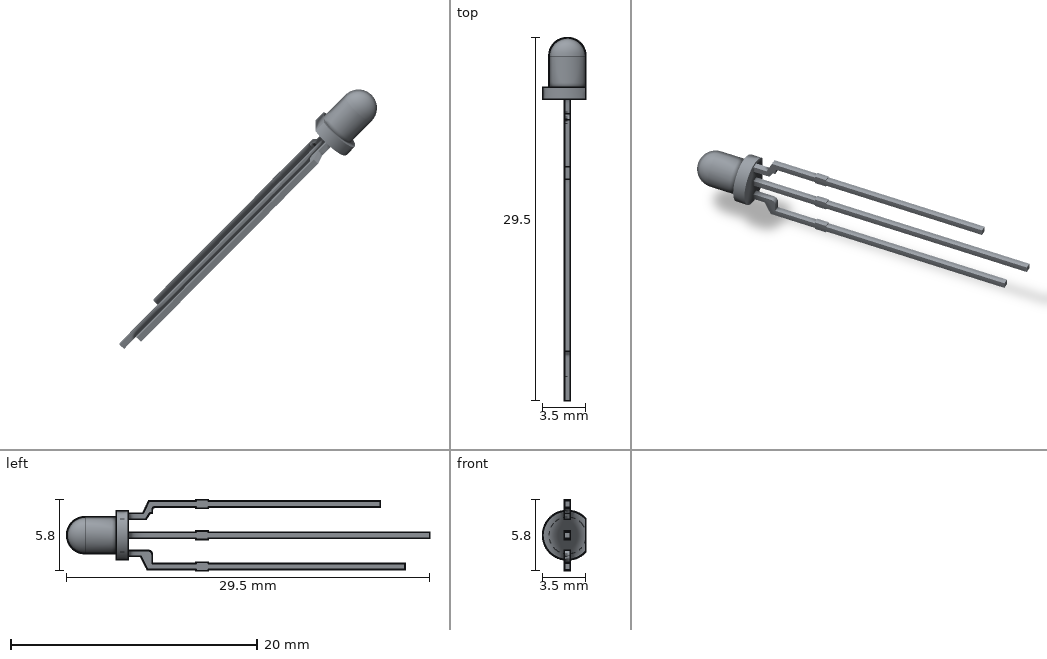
import cadquery as cq

total_length = 29.5
body_length = 5.02
lens_radius = 1.5
flange_radius = 2.0
flange_thickness = 1.0
flat_offset = lens_radius

lead_width = 0.5
lead_pitch = 2.55
lower_root_pitch = 1.48
upper_root_pitch = 1.53
middle_lead_length = total_length - body_length
length_step = 2.0
lower_lead_length = middle_lead_length - length_step
upper_lead_length = lower_lead_length - length_step

stop_width = 0.7
stop_length = 1.0
stop_distance = 5.5

bend_end = 1.95
lower_slope_start = 1.0
lower_slope_end = 1.53
lower_corner_radius = 0.38
upper_slope_start = 1.18
upper_slope_end = 1.65
upper_inner_slope_start = 1.42
upper_inner_slope_end = 1.75
upper_corner_radius = 0.2

half_width = lead_width / 2
lower_root_inner = lower_root_pitch - half_width
lower_root_outer = lower_root_pitch + half_width
upper_root_inner = upper_root_pitch - half_width
upper_root_outer = upper_root_pitch + half_width
lead_inner = lead_pitch - half_width
lead_outer = lead_pitch + half_width


def make_body():
    """Domed lens with a flange that has one flat side."""
    dome_start = body_length - lens_radius
    lens = (
        cq.Workplane("XY")
        .lineTo(lens_radius, 0)
        .lineTo(lens_radius, dome_start)
        .radiusArc((0, body_length), -lens_radius)
        .close()
        .revolve(360, (0, 0), (0, 1))
    )
    flange = cq.Workplane("XZ").circle(flange_radius).extrude(-flange_thickness)
    kept_width = flange_radius + flat_offset
    kept_side = cq.Workplane("XY").box(
        kept_width, flange_thickness, 2 * flange_radius, centered=(False, False, True)
    ).translate((-flange_radius, 0, 0))
    return flange.intersect(kept_side).union(lens)


def make_lead(outline):
    """Extrude a lead outline, given as (distance from flange, height) points."""
    points = [(-distance, height) for distance, height in outline]
    return cq.Workplane("YZ").polyline(points).close().extrude(half_width, both=True)


def round_bend(lead, height, radius):
    """Round the lead corner found at the end of the bend and the given height."""
    corner = cq.selectors.NearestToPointSelector((0, -bend_end, height))
    return lead.edges("|X").edges(corner).fillet(radius)


def make_stop(height):
    """Widened section of the lead at the given height."""
    stop_center = -(stop_distance + stop_length / 2)
    stop = cq.Workplane("XY").box(lead_width, stop_length, stop_width)
    return stop.translate((0, stop_center, height))


middle_outline = [
    (0, -half_width),
    (middle_lead_length, -half_width),
    (middle_lead_length, half_width),
    (0, half_width),
]

lower_outline = [
    (0, -lower_root_inner),
    (bend_end, -lower_root_inner),
    (bend_end, -lead_inner),
    (lower_lead_length, -lead_inner),
    (lower_lead_length, -lead_outer),
    (lower_slope_end, -lead_outer),
    (lower_slope_start, -lower_root_outer),
    (0, -lower_root_outer),
]

upper_outline = [
    (0, upper_root_inner),
    (upper_inner_slope_start, upper_root_inner),
    (upper_inner_slope_end, upper_root_outer),
    (bend_end, upper_root_outer),
    (bend_end, lead_inner),
    (upper_lead_length, lead_inner),
    (upper_lead_length, lead_outer),
    (upper_slope_end, lead_outer),
    (upper_slope_start, upper_root_outer),
    (0, upper_root_outer),
]

lower_lead = round_bend(make_lead(lower_outline), -lower_root_inner, lower_corner_radius)
middle_lead = make_lead(middle_outline)
upper_lead = round_bend(make_lead(upper_outline), lead_inner, upper_corner_radius)

result = make_body()
for lead in (lower_lead, middle_lead, upper_lead):
    result = result.union(lead)
for height in (-lead_pitch, 0, lead_pitch):
    result = result.union(make_stop(height))